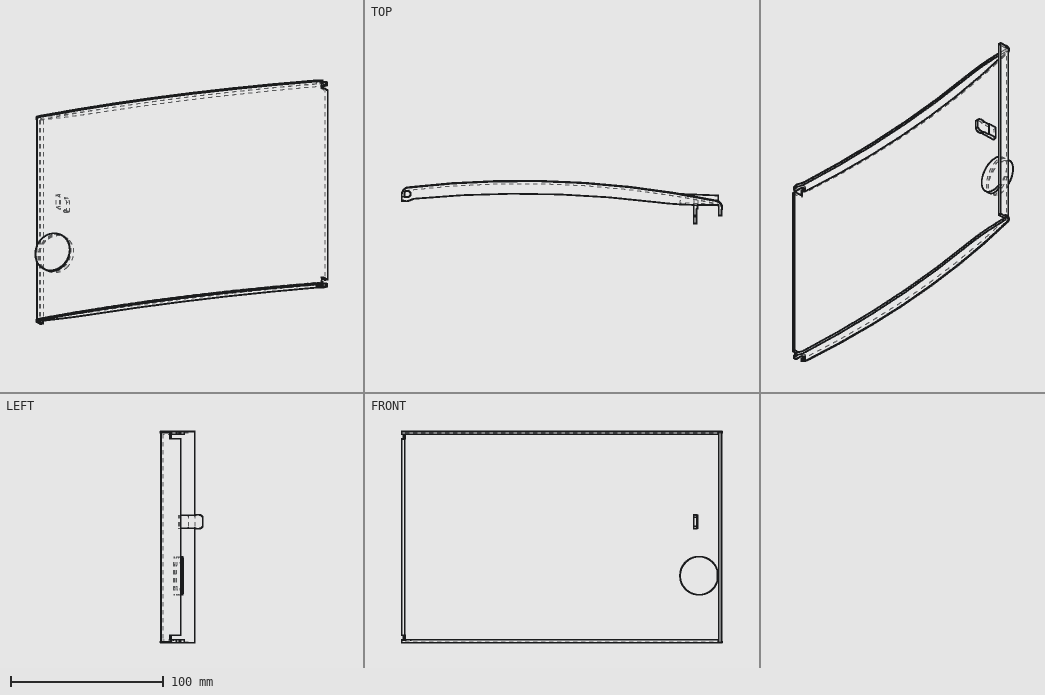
import cadquery as cq
import math

TOTAL_WIDTH = 209.87
HEIGHT = 138.47
DEPTH = 28.11

LIP = 0.45
LIP_HEIGHT = 0.6
LIP_SETBACK = 0.3

WIDTH = TOTAL_WIDTH - LIP
SHEET = 1.4
FLANGE = 2.0
CROWN_X = 78.1
CROWN_RADIUS = 632.0
BEND_RADIUS = 4.6
INNER_BEND_RADIUS = 2.3
LEFT_FLANGE_END = -13.7
RIGHT_FLANGE_END = -22.9

WALL = 2.0
WALL_RIGHT_Y = -16.0
TOE_Y = -12.7
TOE_ARC_START_X = 2.0
TOE_ARC_START_Y = -13.4
TOE_ARC_MID_X = 3.5
TOE_ARC_MID_Y = -13.6
TOE_ARC_END_X = 5.0
TOE_ARC_END_Y = -13.2
HEEL_X = 8.0
HEEL_Y = -12.0
BELLY_X = 80.0
BELLY_Y = -8.7
TAIL_X = 167.0
TAIL_Y = -14.3
TAIL_END_X = 190.0

PIN_X = 3.9
PIN_Y = -8.8
PIN_DIAMETER = 3.9
RELIEF_HEIGHT = 3.0
RELIEF_TOP = WALL + RELIEF_HEIGHT
RELIEF_ANGLE = 40.0

PAD_X = 194.8
PAD_Z = 44.0
PAD_DIAMETER = 25.0
PAD_BACK_Y = -9.2
PAD_THICKNESS = 5.7
PAD_TILT = 2.3

HOOK_X = 191.0
HOOK_Z = 79.3
HOOK_THICKNESS = 2.1
HOOK_ROOT_Y = -11.5
HOOK_HALF_WIDTH = 4.1
BARB_HALF_WIDTH = 4.7
BARB_START_Y = -22.6
BARB_FLAT_START_Y = -23.8
BARB_FLAT_END_Y = -25.0
ROOT_STEP = 0.6
ROOT_STEP_END_Y = -18.5
TIP_HALF_WIDTH = 2.9


def arc_y(x, inset):
    """Y of the bowed back at x, moved inwards by the inset."""
    return math.sqrt((CROWN_RADIUS - inset) ** 2 - (x - CROWN_X) ** 2) - CROWN_RADIUS - LIP


def nearest_upright_edge(x, y):
    """Selector for the upright edge passing closest to (x, y)."""
    return cq.selectors.NearestToPointSelector((x, y, HEIGHT / 2))


def bowed_block(left, right, back_inset, bend_radius):
    """Solid bounded by the bowed back and two sides, rounded where they meet."""
    left_y = arc_y(left, back_inset)
    right_y = arc_y(right, back_inset)
    return (
        cq.Workplane("XY")
        .moveTo(left, -DEPTH)
        .lineTo(left, left_y)
        .threePointArc((CROWN_X, arc_y(CROWN_X, back_inset)), (right, right_y))
        .lineTo(right, -DEPTH)
        .close()
        .extrude(HEIGHT)
        .edges(nearest_upright_edge(left, left_y))
        .fillet(bend_radius)
        .edges(nearest_upright_edge(right, right_y))
        .fillet(bend_radius)
    )


def outer_block():
    """Solid inside the outer skin."""
    return bowed_block(0, WIDTH, 0, BEND_RADIUS)


def inner_block():
    """Hollow inside the cover sheet and its flanges."""
    return bowed_block(FLANGE, WIDTH - FLANGE, SHEET, INNER_BEND_RADIUS)


def box_between(x_range, y_range, z_range):
    """Box spanning the given (low, high) ranges."""
    ranges = (x_range, y_range, z_range)
    sizes = [high - low for low, high in ranges]
    corner = tuple(low for low, high in ranges)
    return cq.Workplane("XY").box(*sizes, centered=False).translate(corner)


def make_skin():
    """Bowed sheet with its flanges trimmed and the left bend relieved beside each wall."""
    middle = WIDTH / 2
    skin = outer_block().cut(inner_block())
    skin = skin.cut(box_between((0, middle), (-DEPTH, LEFT_FLANGE_END), (0, HEIGHT)))
    skin = skin.cut(box_between((middle, WIDTH), (-DEPTH, RIGHT_FLANGE_END), (0, HEIGHT)))
    relief = make_relief()
    return skin.cut(relief).cut(relief.translate((0, 0, HEIGHT - RELIEF_TOP)))


def make_relief():
    """Cutter opening the left bend and flange at the bottom, ended on a radius of the bend."""
    bend_y = arc_y(BEND_RADIUS, BEND_RADIUS)
    rise = BEND_RADIUS * math.tan(math.radians(RELIEF_ANGLE))
    return (
        cq.Workplane("XY")
        .moveTo(BEND_RADIUS, bend_y)
        .lineTo(0, bend_y + rise)
        .lineTo(0, -DEPTH)
        .lineTo(BEND_RADIUS, -DEPTH)
        .close()
        .extrude(RELIEF_TOP)
    )


def make_lip():
    """Lower lip, following the bowed back and both bends."""
    middle = WIDTH / 2
    left_bend_end_y = arc_y(BEND_RADIUS, BEND_RADIUS)
    right_bend_end_y = arc_y(WIDTH, 0) - BEND_RADIUS
    z_range = (LIP_SETBACK, LIP_SETBACK + LIP_HEIGHT)
    left_band = box_between((0, middle), (left_bend_end_y, 0), z_range)
    right_band = box_between((middle, TOTAL_WIDTH), (right_bend_end_y, 0), z_range)
    lip_block = bowed_block(0, TOTAL_WIDTH, -LIP, BEND_RADIUS + LIP)
    return lip_block.cut(inner_block()).intersect(left_band.union(right_band))


def make_wall():
    """Lower wall: rounded toe at the hinge, bowed front edge, straight run into the right flange."""
    return (
        cq.Workplane("XY")
        .moveTo(0, TOE_Y)
        .lineTo(TOE_ARC_START_X, TOE_ARC_START_Y)
        .threePointArc((TOE_ARC_MID_X, TOE_ARC_MID_Y), (TOE_ARC_END_X, TOE_ARC_END_Y))
        .lineTo(HEEL_X, HEEL_Y)
        .threePointArc((BELLY_X, BELLY_Y), (TAIL_X, TAIL_Y))
        .tangentArcPoint((TAIL_END_X, WALL_RIGHT_Y), relative=False)
        .lineTo(WIDTH, WALL_RIGHT_Y)
        .lineTo(WIDTH, 0)
        .lineTo(0, 0)
        .close()
        .extrude(WALL)
        .intersect(outer_block())
    )


def make_pin_hole():
    """Cutter for the lower pin hole and its mouth."""
    radius = PIN_DIAMETER / 2
    hole = cq.Workplane("XY").center(PIN_X, PIN_Y).circle(radius).extrude(WALL)
    mouth = box_between((0, PIN_X), (PIN_Y - radius, PIN_Y + radius), (0, WALL))
    return hole.union(mouth)


def make_pad():
    """Disc through the sheet, its right side leaning towards the front."""
    return (
        cq.Workplane("XZ")
        .circle(PAD_DIAMETER / 2)
        .extrude(PAD_THICKNESS)
        .rotate((0, 0, 0), (0, 0, 1), -PAD_TILT)
        .translate((PAD_X, PAD_BACK_Y, PAD_Z))
    )


def make_hook():
    """Flat latch tongue with a barb on each long edge and a thicker root."""
    tongue = (
        cq.Workplane("YZ")
        .moveTo(HOOK_ROOT_Y, 0)
        .lineTo(HOOK_ROOT_Y, HOOK_HALF_WIDTH)
        .lineTo(BARB_START_Y, HOOK_HALF_WIDTH)
        .lineTo(BARB_FLAT_START_Y, BARB_HALF_WIDTH)
        .lineTo(BARB_FLAT_END_Y, BARB_HALF_WIDTH)
        .tangentArcPoint((-DEPTH, TIP_HALF_WIDTH), relative=False)
        .lineTo(-DEPTH, 0)
        .mirrorX()
        .extrude(HOOK_THICKNESS)
        .translate((HOOK_X, 0, HOOK_Z))
    )
    root = box_between(
        (HOOK_X, HOOK_X + HOOK_THICKNESS + ROOT_STEP),
        (ROOT_STEP_END_Y, HOOK_ROOT_Y),
        (HOOK_Z - HOOK_HALF_WIDTH, HOOK_Z + HOOK_HALF_WIDTH),
    )
    return tongue.union(root)


def make_end_rim():
    """Lower wall with its lip and pin hole."""
    return make_wall().union(make_lip()).cut(make_pin_hole())


lower_rim = make_end_rim()
upper_rim = lower_rim.mirror("XY").translate((0, 0, HEIGHT))
result = make_skin().union(lower_rim).union(upper_rim).union(make_pad()).union(make_hook())